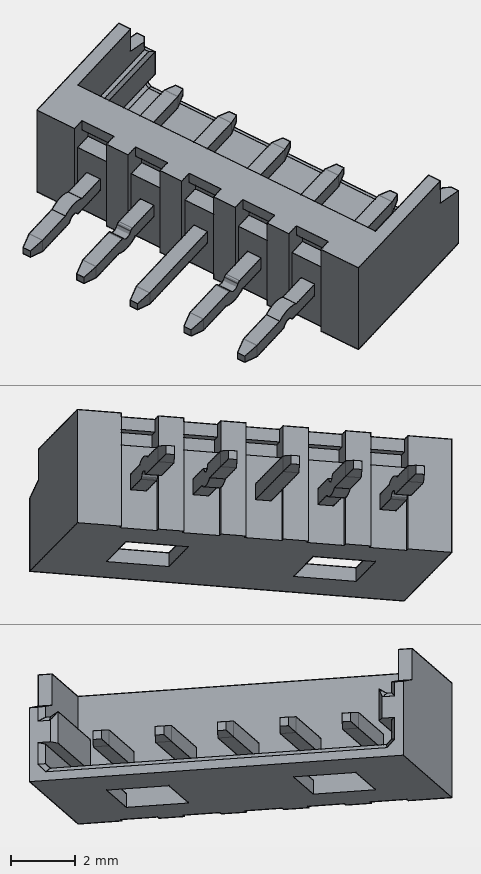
import cadquery as cq
import math


length = 12.0
height = 3.65
depth = 5.5
wall = 0.45
front_wall = 1.6
floor_chamfer = 0.15

step_length = 1.0
step_z = 2.65
step_rear_z = 2.35

rib_bottom_z = 1.22
rib_ledge_z = 2.08
rib_lip_z = 2.23
rib_ledge_width = 0.15
rib_width = 0.41

mouth_depth = 0.24
mouth_angle = 35.0

pin_count = 5
pitch = length / (pin_count + 1)
pin_size = 0.5
pin_z = 1.5
pin_front = 3.5
pin_rear = 4.88
tip_size = 0.28
front_tip_length = 0.5
rear_tip_length = 0.45

kink_y = -1.3
bulge_length = 0.9
bulge_height = 0.13
hollow_length = 0.56
hollow_core_length = 0.38
hollow_depth = 0.18

window_rear = 3.83
window_offset = 1.5 * pitch

slot_width = 1.19
slot_depth = 0.17
slot_top_depth = 0.41
slot_recess_depth = 0.75
slot_recess_bottom_z = 2.66
slot_recess_top_z = 3.24

pin_positions = [(i - (pin_count - 1) / 2) * pitch for i in range(pin_count)]


def box(x_size, y_range, z_range, x_center=0.0):
    """Box centred on x_center that spans the given Y and Z ranges."""
    y_min, y_max = y_range
    z_min, z_max = z_range
    solid = cq.Workplane("XY").box(x_size, y_max - y_min, z_max - z_min, centered=(True, False, False))
    return solid.translate((x_center, y_min, z_min))


def make_shell():
    """Outer block with the rear top corner stepped down."""
    return (
        cq.Workplane("YZ")
        .moveTo(0, 0)
        .lineTo(depth, 0)
        .lineTo(depth, step_rear_z)
        .lineTo(depth - step_length, step_z)
        .lineTo(depth - step_length, height)
        .lineTo(0, height)
        .close()
        .extrude(length / 2, both=True)
    )


def pocket_profile(y, flare=0.0):
    """Outline of the pocket at a given Y, reaching above the housing top.

    All faces except the rib undersides move outwards by the flare.
    """
    side = length / 2 - wall + flare
    floor = wall - flare
    ledge_z = rib_ledge_z - flare
    rib_face = length / 2 - wall - rib_width + flare

    chamfer = floor_chamfer + flare * (2 - math.sqrt(2))
    slope = math.atan2(rib_lip_z - rib_ledge_z, rib_width - rib_ledge_width)
    lip_z = rib_lip_z - flare / math.cos(slope) - flare * math.tan(slope)
    ledge_edge = rib_face + (lip_z - ledge_z) / math.tan(slope)

    right_side = [
        (side - chamfer, floor),
        (side, floor + chamfer),
        (side, rib_bottom_z),
        (rib_face, rib_bottom_z),
        (rib_face, lip_z),
        (ledge_edge, ledge_z),
        (side, ledge_z),
        (side, height + wall),
    ]
    left_side = [(-x, z) for x, z in reversed(right_side)]
    return cq.Workplane("XZ", origin=(0, y, 0)).polyline(right_side + left_side).close()


def make_pocket():
    """Pocket behind the front wall, flaring outwards at its rear mouth."""
    mouth_start = depth - mouth_depth
    flare = mouth_depth * math.tan(math.radians(mouth_angle))
    straight = pocket_profile(front_wall).extrude(-(mouth_start - front_wall))
    inner_outline = pocket_profile(mouth_start).val()
    outer_outline = pocket_profile(depth, flare).val()
    mouth = cq.Solid.makeLoft([inner_outline, outer_outline], True)
    return straight.union(cq.Workplane(mouth))


def make_slot(x):
    """Front slot with a deeper recess behind its upper part."""
    lower = box(slot_width, (0, slot_depth), (0, height), x)
    upper = box(slot_width, (0, slot_top_depth), (slot_recess_bottom_z, height), x)
    recess = box(slot_width, (0, slot_recess_depth), (slot_recess_bottom_z, slot_recess_top_z), x)
    return lower.union(upper).union(recess)


def make_window(x):
    """Floor opening one pitch wide."""
    return box(pitch, (front_wall, window_rear), (0, wall), x)


def make_tip(y, tip_length):
    """Tapered pin end starting at y; a negative length points to -Y."""
    return (
        cq.Workplane("XZ", origin=(0, y, pin_z))
        .rect(pin_size, pin_size)
        .workplane(offset=-tip_length)
        .rect(tip_size, tip_size)
        .loft(combine=True)
    )


def make_bulge():
    """Arched swelling on the upper face of a pin."""
    top = pin_z + pin_size / 2
    return (
        cq.Workplane("YZ")
        .moveTo(kink_y - bulge_length / 2, top)
        .threePointArc((kink_y, top + bulge_height), (kink_y + bulge_length / 2, top))
        .close()
        .extrude(pin_size / 2, both=True)
    )


def make_hollow():
    """Arched groove in the lower face of a pin, with its two edges rounded over."""
    bottom = pin_z - pin_size / 2
    half = hollow_length / 2
    core_half = hollow_core_length / 2
    turn = 2 * math.atan(hollow_depth / half)
    edge_radius = (half - core_half) / math.sin(turn)
    edge_rise = edge_radius * (1 - math.cos(turn))
    mid_offset = half - edge_radius * math.sin(turn / 2)
    mid_rise = edge_radius * (1 - math.cos(turn / 2))
    return (
        cq.Workplane("YZ")
        .moveTo(kink_y - half, bottom)
        .threePointArc((kink_y - mid_offset, bottom + mid_rise), (kink_y - core_half, bottom + edge_rise))
        .threePointArc((kink_y, bottom + hollow_depth), (kink_y + core_half, bottom + edge_rise))
        .threePointArc((kink_y + mid_offset, bottom + mid_rise), (kink_y + half, bottom))
        .close()
        .extrude(pin_size / 2, both=True)
    )


def make_straight_pin():
    """Square pin with tapered ends, centred on X = 0."""
    shank_front = front_tip_length - pin_front
    shank_rear = pin_rear - rear_tip_length
    shank = box(pin_size, (shank_front, shank_rear), (pin_z - pin_size / 2, pin_z + pin_size / 2))
    return shank.union(make_tip(shank_front, -front_tip_length)).union(make_tip(shank_rear, rear_tip_length))


straight_pin = make_straight_pin()
kinked_up_pin = straight_pin.union(make_bulge()).cut(make_hollow())
kinked_down_pin = kinked_up_pin.rotate((0, 0, pin_z), (0, 1, pin_z), 180)
pins = [kinked_up_pin, kinked_down_pin, straight_pin, kinked_down_pin, kinked_up_pin]

result = make_shell().cut(make_pocket())
for side in (-1, 1):
    result = result.cut(make_window(side * window_offset))
for x, pin in zip(pin_positions, pins):
    result = result.cut(make_slot(x)).union(pin.translate((x, 0, 0)))